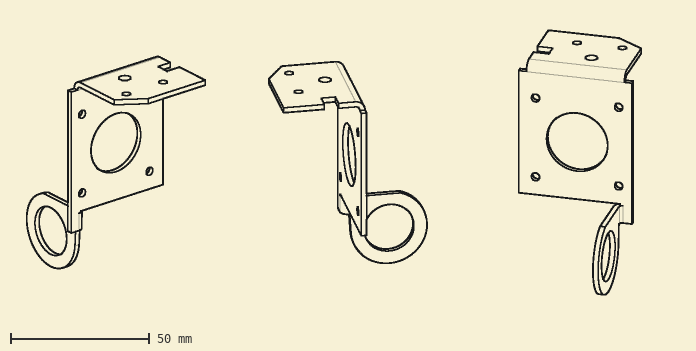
import cadquery as cq
import math

SHEET = 2.0
TOTAL_HEIGHT = 79.5
SCREW_DIAMETER = 3.0

WALL_WIDTH = 42.3
WALL_BOTTOM = 27.9
LEG_BOTTOM = 20.5
BORE_DIAMETER = 22.8
BORE_Y = -0.6
BORE_Z = 50.4
MOUNT_PITCH = 31.0

FLANGE_WIDTH = 36.6
FLANGE_END = 30.0
FLANGE_INNER_RADIUS = 1.5
FLANGE_OUTER_RADIUS = FLANGE_INNER_RADIUS + SHEET
WALL_TOP = TOTAL_HEIGHT - FLANGE_OUTER_RADIUS
NOTCH_START = 9.8
NOTCH_WIDTH = 5.2
NOTCH_DEPTH = 5.7
CORNER_LENGTH_X = 6.8
CORNER_LENGTH_Y = 10.2
PIVOT_DIAMETER = 4.4
PIVOT_X = 10.3
PIVOT_Y = -3.2
FLANGE_SCREW_X = 21.8
FLANGE_SCREW_Y = 5.3
FLANGE_SCREW_PITCH = 16.9

RING_RADIUS = 14.0
RING_BORE = 18.3
RING_X = -15.6
RING_Z = RING_RADIUS
TAB_TOP = 27.35
TAB_FRONT = -16.6
TAB_INNER_RADIUS = 1.1
TAB_BEND_Y = TAB_FRONT - TAB_INNER_RADIUS


def quarter_bend(plane, center, inner_radius, start_angle, length):
    """Quarter of a tube, swept counter-clockwise from start_angle in degrees."""
    def point(radius, angle):
        turn = math.radians(angle)
        return (center[0] + radius * math.cos(turn), center[1] + radius * math.sin(turn))

    outer_radius = inner_radius + SHEET
    middle_angle = start_angle + 45
    end_angle = start_angle + 90
    return (
        plane.moveTo(*point(inner_radius, start_angle))
        .lineTo(*point(outer_radius, start_angle))
        .threePointArc(point(outer_radius, middle_angle), point(outer_radius, end_angle))
        .lineTo(*point(inner_radius, end_angle))
        .threePointArc(point(inner_radius, middle_angle), point(inner_radius, start_angle))
        .close()
        .extrude(length)
    )


def make_wall():
    half_width = WALL_WIDTH / 2
    outline = [
        (-half_width, LEG_BOTTOM),
        (TAB_BEND_Y, LEG_BOTTOM),
        (TAB_BEND_Y, TAB_TOP),
        (TAB_FRONT, TAB_TOP),
        (TAB_FRONT, WALL_BOTTOM),
        (half_width, WALL_BOTTOM),
        (half_width, WALL_TOP),
        (-half_width, WALL_TOP),
    ]
    wall = cq.Workplane("YZ").polyline(outline).close().extrude(SHEET)
    bore = cq.Workplane("YZ").center(BORE_Y, BORE_Z).circle(BORE_DIAMETER / 2).extrude(SHEET)
    screws = (
        cq.Workplane("YZ")
        .center(BORE_Y, BORE_Z)
        .rect(MOUNT_PITCH, MOUNT_PITCH, forConstruction=True)
        .vertices()
        .circle(SCREW_DIAMETER / 2)
        .extrude(SHEET)
    )
    return wall.cut(bore).cut(screws)


def make_flange():
    half_width = FLANGE_WIDTH / 2
    notch_end = NOTCH_START + NOTCH_WIDTH
    notch_floor = half_width - NOTCH_DEPTH
    outline = [
        (FLANGE_OUTER_RADIUS, -half_width),
        (FLANGE_END - CORNER_LENGTH_X, -half_width),
        (FLANGE_END, -half_width + CORNER_LENGTH_Y),
        (FLANGE_END, half_width),
        (notch_end, half_width),
        (notch_end, notch_floor),
        (NOTCH_START, notch_floor),
        (NOTCH_START, half_width),
        (FLANGE_OUTER_RADIUS, half_width),
    ]
    underside = cq.Workplane("XY", origin=(0, 0, TOTAL_HEIGHT - SHEET))
    plate = underside.polyline(outline).close().extrude(SHEET)
    pivot = underside.center(PIVOT_X, PIVOT_Y).circle(PIVOT_DIAMETER / 2).extrude(SHEET)
    screw_points = [
        (FLANGE_SCREW_X, FLANGE_SCREW_Y),
        (FLANGE_SCREW_X, FLANGE_SCREW_Y - FLANGE_SCREW_PITCH),
    ]
    screws = underside.pushPoints(screw_points).circle(SCREW_DIAMETER / 2).extrude(SHEET)
    bend = quarter_bend(
        cq.Workplane("XZ", origin=(0, half_width, 0)),
        (FLANGE_OUTER_RADIUS, WALL_TOP),
        FLANGE_INNER_RADIUS,
        90,
        FLANGE_WIDTH,
    )
    return plate.cut(pivot).cut(screws).union(bend)


def make_ring_tab():
    edge_x = -TAB_INNER_RADIUS
    chord_x = RING_X - math.sqrt(RING_RADIUS**2 - (TAB_TOP - RING_Z) ** 2)

    foot_dx = edge_x - RING_X
    foot_dz = LEG_BOTTOM - RING_Z
    tangent_angle = math.atan2(foot_dz, foot_dx) - math.acos(RING_RADIUS / math.hypot(foot_dx, foot_dz))
    tangent_point = (
        RING_X + RING_RADIUS * math.cos(tangent_angle),
        RING_Z + RING_RADIUS * math.sin(tangent_angle),
    )
    back = cq.Workplane("XZ", origin=(0, TAB_FRONT + SHEET, 0))
    plate = (
        back.moveTo(chord_x, TAB_TOP)
        .lineTo(edge_x, TAB_TOP)
        .lineTo(edge_x, LEG_BOTTOM)
        .lineTo(*tangent_point)
        .threePointArc((RING_X, RING_Z - RING_RADIUS), (chord_x, TAB_TOP))
        .close()
        .extrude(SHEET)
    )
    bore = back.center(RING_X, RING_Z).circle(RING_BORE / 2).extrude(SHEET)
    bend = quarter_bend(
        cq.Workplane("XY", origin=(0, 0, LEG_BOTTOM)),
        (edge_x, TAB_BEND_Y),
        TAB_INNER_RADIUS,
        0,
        TAB_TOP - LEG_BOTTOM,
    )
    return plate.cut(bore).union(bend)


result = make_wall().union(make_flange()).union(make_ring_tab())